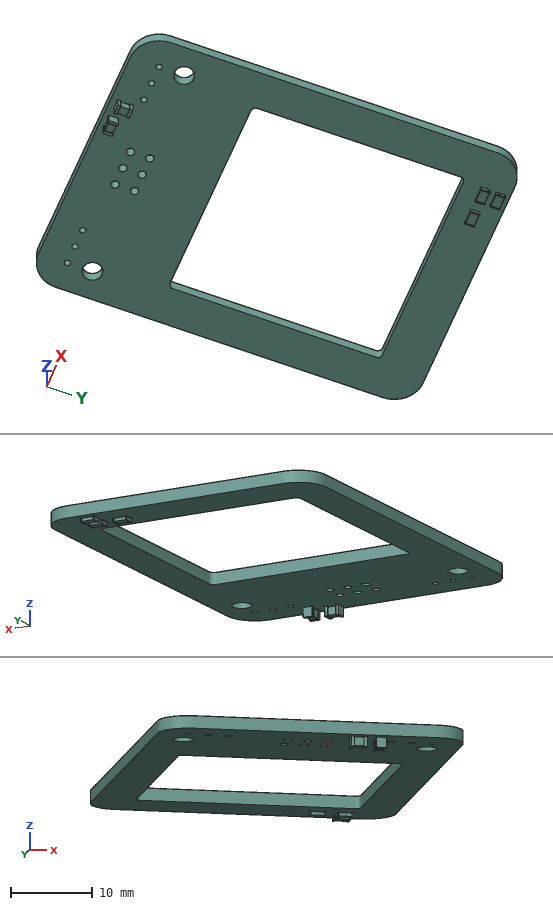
import cadquery as cq

board_width = 38.1
board_length = 50.8
board_thickness = 1.6
board_corner_radius = 3.8

window_width = 28.05
window_length = 28.05
window_x = 0.1
window_y = 5.25
window_corner_radius = 0.6

pitch = 2.55
mount_hole_diameter = 2.55
mount_hole_x = 6 * pitch
mount_hole_y = -18.3
header_hole_diameter = 1.0
header_columns = 3
header_rows = 2
header_y = -7.5 * pitch
pin_hole_diameter = 0.75
pins_per_row = 3
pin_row_x = 5 * pitch
pin_row_y = -8.5 * pitch

solder_gap = 0.05
chip_length = 2.0
chip_width = 1.25

capacitor_height = 1.25
capacitor_cap_length = 0.4
capacitor_waist_step = 0.1
lengthwise_capacitor_center = (5.55, -24.15)
crosswise_capacitor_center = (8.4, -23.55)

resistor_height = 0.5
resistor_cap_length = 0.15
resistor_waist_step = 0.05
resistor_columns_x = (9.3, 12.75)
resistor_rows_y = (22.15, 24.15)
resistor_centers = [
    (resistor_columns_x[0], resistor_rows_y[0]),
    (resistor_columns_x[1], resistor_rows_y[0]),
    (resistor_columns_x[1], resistor_rows_y[1]),
]


def make_board():
    """Rounded plate with its underside at Z = 0."""
    return (
        cq.Workplane("XY")
        .box(board_width, board_length, board_thickness, centered=(True, True, False))
        .edges("|Z")
        .fillet(board_corner_radius)
    )


def make_window():
    """Rounded square cutter for the display opening."""
    return (
        cq.Workplane("XY")
        .box(window_width, window_length, board_thickness, centered=(True, True, False))
        .edges("|Z")
        .fillet(window_corner_radius)
        .translate((window_x, window_y, 0))
    )


def make_hole_grid(center_x, center_y, columns, rows, spacing, diameter):
    """Cutters for a rectangular grid of through holes."""
    return (
        cq.Workplane("XY")
        .center(center_x, center_y)
        .rarray(spacing, spacing, columns, rows)
        .circle(diameter / 2)
        .extrude(board_thickness)
    )


def make_chip(center, height, cap_length, waist_step, turn=0):
    """Chip with two full-size end caps and a slightly smaller waist, hung below the board."""
    cap_offset = (chip_length - cap_length) / 2
    waist = cq.Workplane("XY").box(
        chip_length - 2 * cap_length,
        chip_width - 2 * waist_step,
        height - 2 * waist_step,
    )
    end_caps = (
        cq.Workplane("XY")
        .pushPoints([(-cap_offset, 0), (cap_offset, 0)])
        .box(cap_length, chip_width, height)
    )
    return (
        waist.union(end_caps)
        .rotate((0, 0, 0), (0, 0, 1), turn)
        .translate((*center, -solder_gap - height / 2))
    )


board = make_board().cut(make_window())
for side in (-1, 1):
    board = board.cut(
        make_hole_grid(side * mount_hole_x, mount_hole_y, 1, 1, pitch, mount_hole_diameter)
    )
    board = board.cut(
        make_hole_grid(side * pin_row_x, pin_row_y, pins_per_row, 1, pitch, pin_hole_diameter)
    )
board = board.cut(
    make_hole_grid(0, header_y, header_columns, header_rows, pitch, header_hole_diameter)
)

capacitors = [
    make_chip(center, capacitor_height, capacitor_cap_length, capacitor_waist_step, turn)
    for center, turn in ((lengthwise_capacitor_center, 0), (crosswise_capacitor_center, 90))
]

resistors = [
    make_chip(center, resistor_height, resistor_cap_length, resistor_waist_step)
    for center in resistor_centers
]

result = cq.Compound.makeCompound(
    [board.val()] + [chip.val() for chip in capacitors + resistors]
)